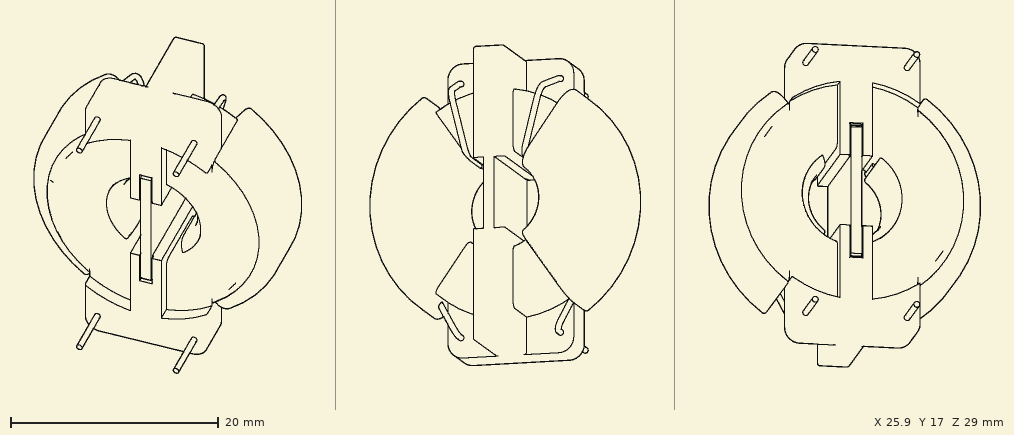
import cadquery as cq
import math


frame_height = 29.0
frame_depth = 12.0
base_width = 12.62
base_depth = 4.0
base_corner_radius = 1.5
bar_width = 3.2
bar_gap = 7.02
bar_side_fillet = 0.3
edge_fillet = 0.2

plate_thickness = 1.07
plate_height = 13.05
plate_chamfer = 0.2
groove_width = 1.28
groove_height = 13.45
groove_depth = 0.4

core_outer_radius = 10.93
core_inner_radius = 4.93
core_front = 1.35
core_back = 9.0
core_fillet = 0.7

winding_outer_radius = 25.9 / 2
winding_inner_radius = 3.97
winding_front = 2.0
winding_back = 10.03
winding_fillet = 2.0
winding_half_angle = 55.0
winding_end_fillet = 0.3

wire_diameter = 0.58
pin_length = 5.0
pin_x = 5.0
pin_z = 12.5
lead_start = base_depth + 0.3
crossing_x = 4.5
crossing_z = 10.7
hole_turn_x = 2.85
hole_turn_z = 4.05
upper_bend_radius = 1.75
hole_bend_radius = 1.02
lower_bend_radius = 0.93
lower_lead_y = 5.55
lower_end_x = 6.73
lower_end_z = 9.28


def box(width, depth, height, front=0.0, middle_z=0.0):
    """Box centred on X = 0, with its front face at Y = front."""
    solid = cq.Workplane("XY").box(width, depth, height, centered=(True, False, True))
    return solid.translate((0, front, middle_z))


def disc(radius, front, back):
    """Cylinder around the Y axis between two Y positions."""
    return cq.Workplane("XZ", origin=(0, front, 0)).circle(radius).extrude(front - back)


def mirror_x(shape):
    """The shape together with its mirror image on the other side of X = 0."""
    return shape.union(shape.mirror("YZ"))


def make_core():
    ring = disc(core_outer_radius, core_front, core_back)
    ring = ring.cut(disc(core_inner_radius, core_front, core_back))
    return ring.edges().fillet(core_fillet)


def make_winding():
    """Winding on the +X side: a rounded section swept around the Y axis."""
    middle_radius = (winding_inner_radius + winding_outer_radius) / 2
    middle_y = (winding_front + winding_back) / 2
    section = (
        cq.Sketch()
        .push([(middle_radius, middle_y)])
        .rect(winding_outer_radius - winding_inner_radius, winding_back - winding_front)
        .reset()
        .vertices()
        .fillet(winding_fillet)
    )
    axis = ((0, 0, 0), (0, 1, 0))
    winding = cq.Workplane("XY").placeSketch(section).revolve(2 * winding_half_angle, *axis)
    winding = winding.rotate(*axis, -winding_half_angle)
    return winding.faces("#Y").faces("%PLANE").edges().fillet(winding_end_fillet)


def make_frame_end():
    """Upper half of the frame: rounded base block plus the bar behind it."""
    half_height = frame_height / 2
    length = half_height - bar_gap / 2
    middle_z = half_height - length / 2

    base = box(base_width, base_depth, length, middle_z=middle_z)
    base = base.edges("|Y and >Z").fillet(base_corner_radius)
    base = base.faces("<Y").edges("not <Z").fillet(edge_fillet)
    core_middle_radius = (core_outer_radius + core_inner_radius) / 2
    base = base.cut(disc(core_middle_radius, 0, base_depth))
    base = base.cut(disc(core_outer_radius, 0, core_front))

    bar = box(bar_width, frame_depth, length, middle_z=middle_z)
    bar = bar.edges("|Y and >Z").fillet(bar_side_fillet)
    bar = bar.faces(">Y").edges("not <Z").fillet(edge_fillet)
    trim_depth = base_depth / 2
    bar = bar.cut(box(bar_width, trim_depth, base_corner_radius, middle_z=half_height))
    return base.union(bar)


def make_frame():
    end = make_frame_end()
    frame = end.union(end.mirror("XY"))
    frame = frame.cut(box(groove_width, groove_depth, groove_height))
    plate = box(plate_thickness, frame_depth, plate_height)
    plate = plate.edges("|X and <Y").chamfer(plate_chamfer)
    return frame.union(plate)


def make_wire(points, bend_radii):
    """Round wire along straight runs, with one bend radius for each inner corner."""
    corners = [cq.Vector(*point) for point in points]
    edges = []
    start = corners[0]
    bends = zip(corners, corners[1:], corners[2:], bend_radii)
    for before, corner, after, bend_radius in bends:
        back = (before - corner).normalized()
        ahead = (after - corner).normalized()
        half_angle = back.getAngle(ahead) / 2
        setback = bend_radius / math.tan(half_angle)
        bend_start = corner + back * setback
        bend_end = corner + ahead * setback
        inward = (back + ahead).normalized()
        bend_middle = corner + inward * (bend_radius / math.sin(half_angle) - bend_radius)
        edges.append(cq.Edge.makeLine(start, bend_start))
        edges.append(cq.Edge.makeThreePointArc(bend_start, bend_middle, bend_end))
        start = bend_end
    edges.append(cq.Edge.makeLine(start, corners[-1]))
    path = cq.Wire.assembleEdges(edges)
    profile = cq.Workplane(cq.Plane(corners[0], normal=corners[1] - corners[0]))
    return profile.circle(wire_diameter / 2).sweep(cq.Workplane(path))


def make_leads():
    """Pins on the +X side, with the leads that run from them to the winding."""
    back_y = winding_back - wire_diameter / 2
    middle_y = (core_front + core_back) / 2
    upper = make_wire(
        [
            (pin_x, -pin_length, pin_z),
            (pin_x, lead_start, pin_z),
            (crossing_x, back_y, crossing_z),
            (hole_turn_x, back_y, hole_turn_z),
            (hole_turn_x, middle_y, hole_turn_z),
        ],
        [upper_bend_radius, upper_bend_radius, hole_bend_radius],
    )
    lower = make_wire(
        [
            (pin_x, -pin_length, -pin_z),
            (pin_x, lower_lead_y, -pin_z),
            (lower_end_x, lower_lead_y, -lower_end_z),
        ],
        [lower_bend_radius],
    )
    return upper, lower


result = make_core()
result = result.union(mirror_x(make_winding()))
result = result.union(make_frame())
for lead in make_leads():
    result = result.union(mirror_x(lead))